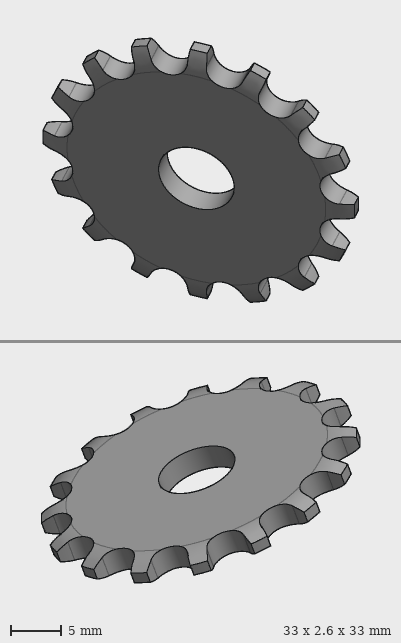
import cadquery as cq
import math

tooth_count = 16
chain_pitch = 6.0
roller_diameter = 4.0
tip_diameter = 33.0
width = 2.6
bore_diameter = 8.0
flank_radius = 10.0
crown_radius = 6.0
crown_depth = 0.7
cutter_clearance = 1.0

half_step = math.pi / tooth_count
pitch_radius = chain_pitch / 2 / math.sin(half_step)
seat_radius = roller_diameter / 2
root_radius = pitch_radius - seat_radius
tip_radius = tip_diameter / 2
half_width = width / 2

crown_length = math.sqrt(crown_radius**2 - (crown_radius - crown_depth) ** 2)
flat_radius = tip_radius - crown_length

seat_end_height = pitch_radius * math.cos(half_step)
seat_end_offset = chain_pitch / 2 - seat_radius


def crown_point(fraction, side):
    """Point (y, radius) part-way along the crown arc of one side (+1 or -1)."""
    angle = fraction * math.asin(crown_length / crown_radius)
    y = half_width - crown_radius * (1 - math.cos(angle))
    return side * y, flat_radius + crown_radius * math.sin(angle)


def make_blank():
    """Bored disc with both sides rounded towards the rim."""
    bore_radius = bore_diameter / 2
    return (
        cq.Workplane("YZ")
        .moveTo(-half_width, bore_radius)
        .lineTo(*crown_point(0, -1))
        .threePointArc(crown_point(0.5, -1), crown_point(1, -1))
        .lineTo(*crown_point(1, 1))
        .threePointArc(crown_point(0.5, 1), crown_point(0, 1))
        .lineTo(half_width, bore_radius)
        .close()
        .revolve(360, (0, 0, 0), (1, 0, 0))
    )


def flank_point(height, side):
    """Point on a flank of the gap centred on +Z; height runs along that tooth's centreline."""
    rise = height - seat_end_height
    offset = seat_end_offset - flank_radius + math.sqrt(flank_radius**2 - rise**2)
    x = height * math.sin(half_step) - offset * math.cos(half_step)
    z = height * math.cos(half_step) + offset * math.sin(half_step)
    return side * x, z


def seat_point(side):
    """Middle of one half of the roller seat, between its root and its flank."""
    angle = (math.pi / 2 - half_step) / 2
    return side * seat_radius * math.sin(angle), pitch_radius - seat_radius * math.cos(angle)


def make_gap_cutter():
    """Prism filling the tooth gap centred on +Z."""
    outer_height = tip_radius + cutter_clearance
    middle_height = (seat_end_height + outer_height) / 2
    return (
        cq.Workplane("XZ")
        .moveTo(*flank_point(outer_height, -1))
        .threePointArc(flank_point(middle_height, -1), flank_point(seat_end_height, -1))
        .threePointArc(seat_point(-1), (0, root_radius))
        .threePointArc(seat_point(1), flank_point(seat_end_height, 1))
        .threePointArc(flank_point(middle_height, 1), flank_point(outer_height, 1))
        .close()
        .extrude(width, both=True)
    )


def cut_gaps(blank):
    """Cut the gaps, each midway between two neighbouring teeth."""
    cutter = make_gap_cutter()
    for index in range(tooth_count):
        angle = math.degrees((2 * index + 1) * half_step)
        blank = blank.cut(cutter.rotate((0, 0, 0), (0, 1, 0), angle))
    return blank


result = cut_gaps(make_blank())